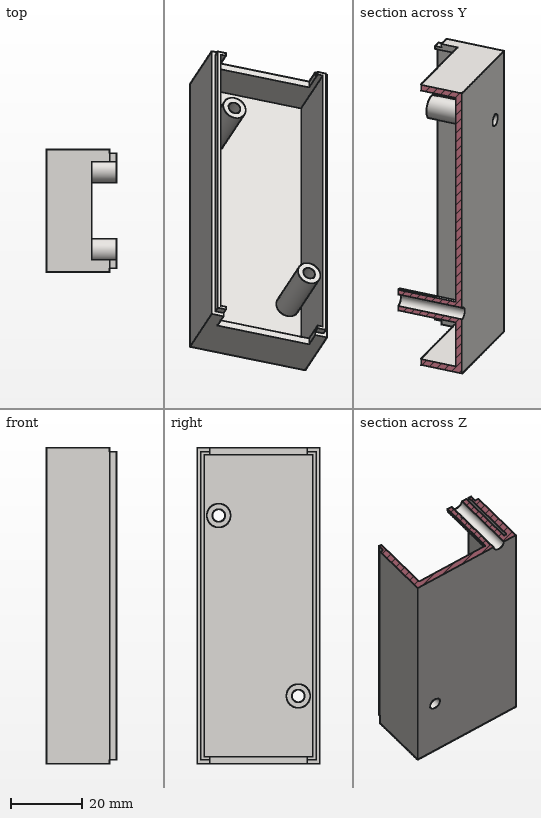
import cadquery as cq

overall_depth = 19.8
width = 34.6
height = 89.0

wall = 2.0
lip_inset = 1.1
lip_length = 2.0
body_depth = overall_depth - lip_length

notch_floor_x = 12.8
notch_side_margin = 3.55
notch_width = width - 2 * notch_side_margin

boss_diameter = 6.7
screw_hole_diameter = 3.5
boss_side_margin = 6.1
boss_end_margin = 19.1
boss_y = width / 2 - boss_side_margin
boss_z = height / 2 - boss_end_margin
boss_centres = [(-boss_y, boss_z), (boss_y, -boss_z)]


def block(x_start, x_end, size_y, size_z):
    """Box centred on the X axis, spanning x_start to x_end."""
    length = x_end - x_start
    return cq.Workplane("XY").box(length, size_y, size_z).translate(((x_start + x_end) / 2, 0, 0))


def cylinders(x_start, diameter):
    """Cylinders on both boss centres, from x_start to the rim."""
    return (
        cq.Workplane("YZ", origin=(x_start, 0, 0))
        .pushPoints(boss_centres)
        .circle(diameter / 2)
        .extrude(overall_depth - x_start)
    )


def tray():
    """Hollow body with a stepped-in lip around its open side."""
    body = block(0, body_depth, width, height)
    lip = block(0, overall_depth, width - 2 * lip_inset, height - 2 * lip_inset)
    pocket = block(wall, overall_depth, width - 2 * wall, height - 2 * wall)
    return body.union(lip).cut(pocket)


end_notches = block(notch_floor_x, overall_depth, notch_width, height)
bosses = cylinders(wall, boss_diameter)
screw_holes = cylinders(0, screw_hole_diameter)

result = tray().cut(end_notches).union(bosses).cut(screw_holes)